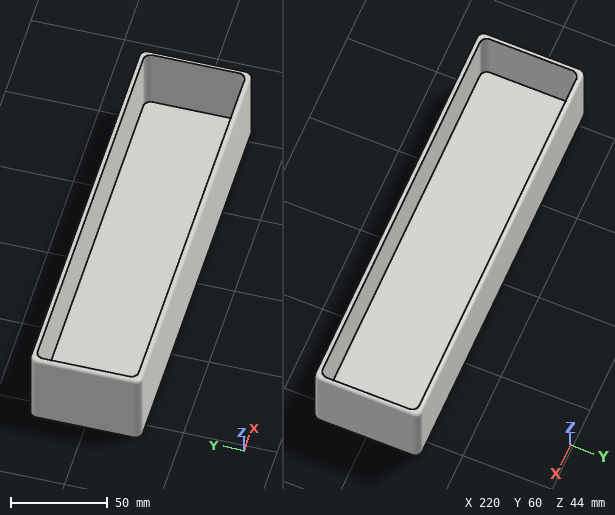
import cadquery as cq

LENGTH = 220.0
WIDTH = 60.0
HEIGHT = 44.0

RIM_FILLET = 2.0
CORNER_RADIUS = 2 * RIM_FILLET

RIM_LAND = 1.0
WALL = RIM_FILLET + RIM_LAND
FLOOR = 7.0


def rounded_block(length, width, height):
    """Block standing on Z = 0, centred in X and Y, with rounded upright edges."""
    block = cq.Workplane("XY").box(length, width, height, centered=(True, True, False))
    return block.edges("|Z").fillet(CORNER_RADIUS)


def make_tray():
    """Rectangular tray, open at the top, with a rounded outer rim."""
    outside = rounded_block(LENGTH, WIDTH, HEIGHT)
    outside = outside.faces(">Z").edges().fillet(RIM_FILLET)

    cavity = rounded_block(LENGTH - 2 * WALL, WIDTH - 2 * WALL, HEIGHT - FLOOR)
    return outside.cut(cavity.translate((0, 0, FLOOR)))


tray = make_tray()

result = cq.Compound.makeCompound([tray.val()])